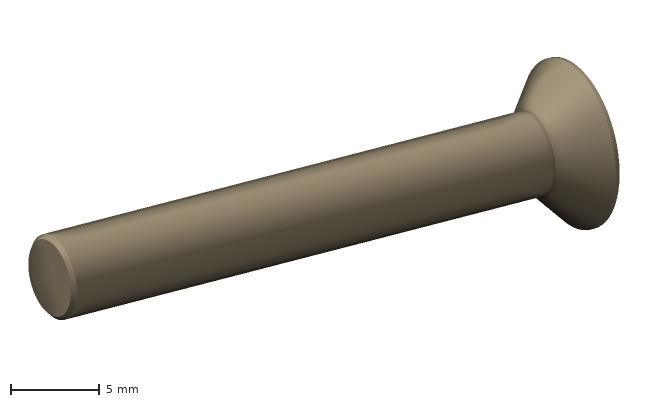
import cadquery as cq

length = 35.0
shank_diameter = 5.0
head_diameter = 2 * shank_diameter
rim_thickness = 0.25
tip_chamfer = 0.25

shank_radius = shank_diameter / 2
head_radius = head_diameter / 2
cone_height = head_radius - shank_radius

tip_y = -length / 2
head_face_y = length / 2
rim_y = head_face_y - rim_thickness
neck_y = rim_y - cone_height

result = (
    cq.Workplane("XY")
    .moveTo(0, tip_y)
    .lineTo(shank_radius - tip_chamfer, tip_y)
    .lineTo(shank_radius, tip_y + tip_chamfer)
    .lineTo(shank_radius, neck_y)
    .lineTo(head_radius, rim_y)
    .lineTo(head_radius, head_face_y)
    .lineTo(0, head_face_y)
    .close()
    .revolve(360, (0, 0, 0), (0, 1, 0))
)